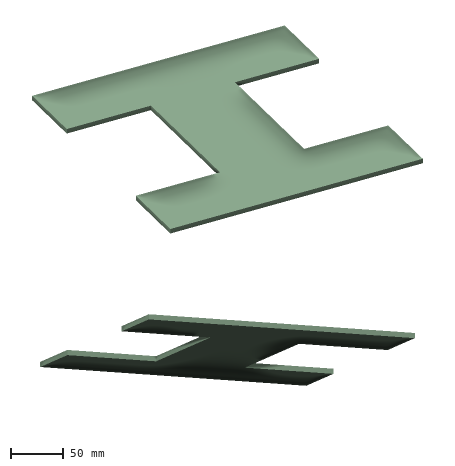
import cadquery as cq

width = 280.0
length = 275.0
thickness = 5.0

leg_width = width / 4
notch_width = width - 2 * leg_width
notch_depth = length / 3


def notch(side):
    """Cutter for the notch open to the +Y (side = 1) or -Y (side = -1) edge."""
    center_y = side * (length - notch_depth) / 2
    return cq.Workplane("XY").box(notch_width, notch_depth, thickness).translate((0, center_y, 0))


result = cq.Workplane("XY").box(width, length, thickness)
for side in (-1, 1):
    result = result.cut(notch(side))